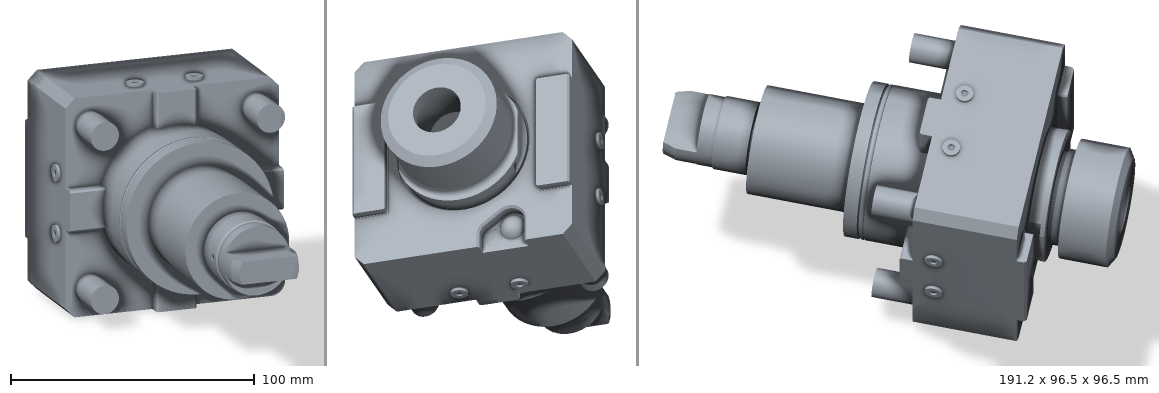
import cadquery as cq
import math


cap_chamfer_end = 2.5
cap_end = 22.5
neck_step_x = 26.5
collar_start = 28.3
collar_lip_end = 30.2
housing_front = 35.2
housing_rear = 79.0
groove_start = 102.7
groove_end = 105.5
pilot_end = 111.3
shank_end = 154.0
coupling_start = 156.0
coupling_step = 170.3
tang_start = 176.8
tang_taper_start = 185.5
overall_length = 191.2

cap_radius = 25.0
cap_face_radius = 21.0
bore_radius = 10.3
neck_radius = 20.0
neck_relief_radius = 18.7
collar_radius = 27.5
collar_clearance_radius = 28.7
collar_clearance_depth = 2.0
pilot_radius = 32.5
groove_radius = 31.0
seal_section_radius = 1.1
shank_radius = 22.7
undercut_radius = 9.5
coupling_radius = 15.3
coupling_step_radius = 14.7
tang_tip_radius = 13.0

lip_flat = 25.6
deep_flat = 22.7

housing_width = 93.9
half_width = housing_width / 2
housing_chamfer = 4.0

key_width = 17.5
key_length = 5.4
key_chamfer = 0.8

bolt_radius = 6.1
bolt_length = 18.2
bolt_y = 36.5
bolt_z = 35.0

pad_thickness = 4.0
pad_width = 14.1
pad_height = 49.9
pad_outer_chamfer = 1.0
pad_inner_chamfer = 0.5
pad_foot_thickness = 0.2
pad_foot_margin = 0.4

plug_radius = 3.6
plug_height = 1.3
plug_x = 70.0
plug_offset = 13.0
plug_socket_radius = 1.5
plug_socket_depth = 1.0

pocket_depth = 5.7
pocket_chamfer = 1.0
pocket_chamfer_angle = 45
nozzle_y = -19.7
nozzle_z = -37.3
nozzle_arc_radius = 6.5
nozzle_ball_radius = 6.0
nozzle_ball_sink = 2.1
plug_hole_y = -11.3
plug_hole_z = -41.0
plug_hole_arc_radius = 4.5
plug_hole_radius = 4.0
plug_hole_depth = 0.2

tang_thickness = 9.7
cross_hole_x = 166.1
cross_hole_radius = 1.5
cross_hole_depth = 2.9


def cylinder_x(start, end, radius, y=0, z=0):
    """Cylinder parallel to the spindle axis."""
    return cq.Workplane("YZ", origin=(start, y, z)).circle(radius).extrude(end - start)


def box(x_range, y_range, z_range):
    """Block spanning the given coordinate ranges."""
    spans = (x_range, y_range, z_range)
    sizes = [high - low for low, high in spans]
    corner = tuple(low for low, high in spans)
    return cq.Workplane("XY").box(*sizes, centered=False).translate(corner)


def about_axis(shape, turn):
    """Shape turned about the spindle axis by an angle in degrees."""
    return shape.rotate((0, 0, 0), (1, 0, 0), turn)


def make_spindle_body():
    coupling_chamfer = coupling_radius - coupling_step_radius
    profile = [
        (0, 0),
        (0, cap_face_radius),
        (cap_chamfer_end, cap_radius),
        (cap_end, cap_radius),
        (cap_end, neck_radius),
        (neck_step_x, neck_radius),
        (neck_step_x, neck_relief_radius),
        (housing_rear, neck_relief_radius),
        (housing_rear, pilot_radius),
        (groove_start, pilot_radius),
        (groove_start, groove_radius),
        (groove_end, groove_radius),
        (groove_end, pilot_radius),
        (pilot_end, pilot_radius),
        (pilot_end, shank_radius),
        (shank_end, shank_radius),
        (shank_end, undercut_radius),
        (coupling_start, undercut_radius),
        (coupling_start, coupling_radius),
        (coupling_step - coupling_chamfer, coupling_radius),
        (coupling_step, coupling_step_radius),
        (tang_taper_start, coupling_step_radius),
        (overall_length, tang_tip_radius),
        (overall_length, 0),
    ]
    body = cq.Workplane("XY").polyline(profile).close().revolve(360, (0, 0), (1, 0))
    return body.cut(cylinder_x(0, cap_end, bore_radius))


def make_seal_ring():
    ring_radius = pilot_radius - seal_section_radius
    ring_x = groove_start + seal_section_radius
    section = cq.Workplane("XY").moveTo(ring_x, ring_radius).circle(seal_section_radius)
    return section.revolve(360, (0, 0), (1, 0))


def make_collar():
    """Collar with a two-step pair of flats, full round where it enters the housing recess."""
    seat_x = housing_front + collar_clearance_depth
    collar = cylinder_x(collar_start, seat_x, collar_radius)
    span = (-collar_radius, collar_radius)
    lip = box((collar_start, collar_lip_end), (-lip_flat, lip_flat), span)
    neck = box((collar_lip_end, housing_front), (-deep_flat, deep_flat), span)
    seat = box((housing_front, seat_x), span, span)
    return collar.intersect(lip.union(neck).union(seat))


def pocket_outline(x, margin):
    """Pocket outline, open past the lower housing face, widened all round by a margin."""
    large = nozzle_arc_radius + margin
    small = plug_hole_arc_radius + margin
    dy = plug_hole_y - nozzle_y
    dz = plug_hole_z - nozzle_z
    center_angle = math.atan2(dz, dy)
    tangent_angle = center_angle + math.acos((large - small) / math.hypot(dy, dz))

    def on_arc(center_y, center_z, radius, angle):
        return (center_y + radius * math.cos(angle), center_z + radius * math.sin(angle))

    nozzle = (nozzle_y, nozzle_z, large)
    hole = (plug_hole_y, plug_hole_z, small)
    floor_z = -half_width - pocket_chamfer
    return (
        cq.Workplane("YZ", origin=(x, 0, 0))
        .moveTo(nozzle_y - large, floor_z)
        .lineTo(nozzle_y - large, nozzle_z)
        .threePointArc(
            on_arc(*nozzle, (math.pi + tangent_angle) / 2),
            on_arc(*nozzle, tangent_angle),
        )
        .lineTo(*on_arc(*hole, tangent_angle))
        .threePointArc(
            on_arc(*hole, tangent_angle / 2),
            on_arc(*hole, 0),
        )
        .lineTo(plug_hole_y + small, floor_z)
        .close()
    )


def make_coolant_pocket():
    pocket = pocket_outline(housing_front, 0).extrude(pocket_depth)
    rim = pocket_outline(housing_front, pocket_chamfer).extrude(pocket_chamfer, taper=pocket_chamfer_angle)
    floor_x = housing_front + pocket_depth
    hole = cylinder_x(floor_x, floor_x + plug_hole_depth, plug_hole_radius, plug_hole_y, plug_hole_z)
    return pocket.union(rim).union(hole)


def make_nozzle_ball():
    ball_x = housing_front + pocket_depth + nozzle_ball_sink
    return cq.Workplane("XY").sphere(nozzle_ball_radius).translate((ball_x, nozzle_y, nozzle_z))


def make_housing():
    side = (-half_width, half_width)
    housing = box((housing_front, housing_rear), side, side).edges("|X").chamfer(housing_chamfer)
    seat_x = housing_front + collar_clearance_depth
    housing = housing.cut(cylinder_x(housing_front, seat_x, collar_clearance_radius))
    return housing.cut(make_coolant_pocket()).union(make_nozzle_ball())


def make_pad(side):
    """Rectangular pad on a thin foot at one side (+1 or -1 in Y) of the housing front."""
    inner_y = half_width - pad_width
    half_height = pad_height / 2
    pad = box(
        (housing_front - pad_thickness, housing_front),
        (inner_y, half_width),
        (-half_height, half_height),
    )
    pad = pad.edges("|X and <Y").chamfer(pad_inner_chamfer)
    pad = pad.edges("<X and >Y").chamfer(pad_outer_chamfer)
    foot = box(
        (housing_front - pad_foot_thickness, housing_front),
        (inner_y - pad_foot_margin, half_width),
        (-half_height - pad_foot_margin, half_height + pad_foot_margin),
    )
    pad = pad.union(foot)
    return pad if side > 0 else about_axis(pad, 180)


def make_key():
    """Key on the +Z side, running in from the housing edge to the pilot."""
    key = box(
        (housing_rear, housing_rear + key_length),
        (-key_width / 2, key_width / 2),
        (neck_radius, half_width),
    )
    return key.edges(">X and |Z").chamfer(key_chamfer)


def make_plug(offset):
    """Socket-head plug screw on the top face."""
    plug = cq.Workplane("XY", origin=(plug_x, offset, half_width)).circle(plug_radius).extrude(plug_height)
    return plug.faces(">Z").workplane().circle(plug_socket_radius).cutBlind(-plug_socket_depth)


def make_tang_cut():
    """Material above the tang; the same block turned over serves the lower side."""
    reach = coupling_radius
    return box((tang_start, overall_length), (-reach, reach), (tang_thickness / 2, reach))


def make_cross_hole():
    """Blind radial hole in the -Y side of the coupling."""
    bottom_y = cross_hole_depth - coupling_radius
    plane = cq.Workplane("XZ", origin=(cross_hole_x, bottom_y, 0))
    return plane.circle(cross_hole_radius).extrude(cross_hole_depth)


result = make_spindle_body().union(make_seal_ring())

housing = make_housing()
for side in (-1, 1):
    housing = housing.union(make_pad(side))
result = result.union(housing).union(make_collar())

for turn in (0, 90, 180, 270):
    result = result.union(about_axis(make_key(), turn))
    for offset in (-plug_offset, plug_offset):
        result = result.union(about_axis(make_plug(offset), turn))

for y in (-bolt_y, bolt_y):
    for z in (-bolt_z, bolt_z):
        result = result.union(cylinder_x(housing_rear, housing_rear + bolt_length, bolt_radius, y, z))

for turn in (0, 180):
    result = result.cut(about_axis(make_tang_cut(), turn))
result = result.cut(make_cross_hole())